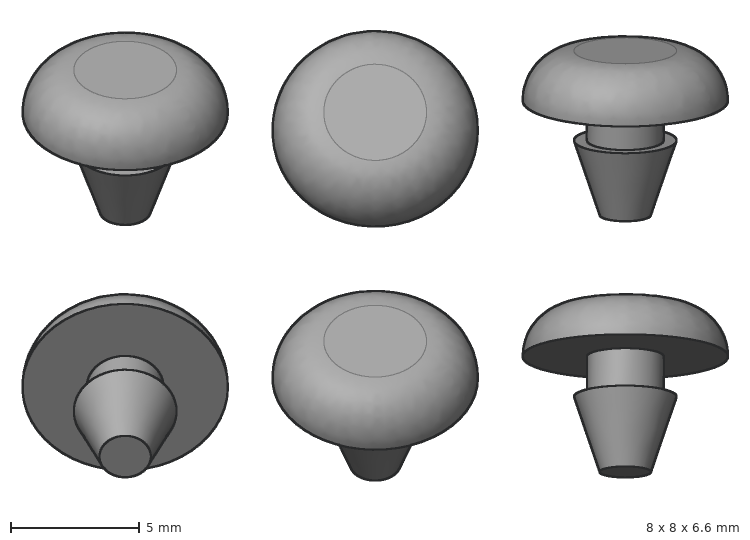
import cadquery as cq
import math

head_diameter = 8.0
head_height = 2.0
neck_diameter = 3.0
neck_length = 1.6
barb_top_diameter = 4.0
barb_tip_diameter = 2.0
barb_length = 3.0

head_radius = head_diameter / 2
neck_radius = neck_diameter / 2
barb_top_radius = barb_top_diameter / 2
barb_tip_radius = barb_tip_diameter / 2
edge_radius = head_height
flat_radius = head_radius - edge_radius
barb_top_z = -neck_length
barb_tip_z = barb_top_z - barb_length

arc_offset = edge_radius * math.sqrt(0.5)
arc_middle = (flat_radius + arc_offset, arc_offset)


def push_rivet():
    """Revolve the half profile of head, neck and tapered barb about Z."""
    half_profile = (
        cq.Workplane("XZ")
        .moveTo(0, barb_tip_z)
        .lineTo(barb_tip_radius, barb_tip_z)
        .lineTo(barb_top_radius, barb_top_z)
        .lineTo(neck_radius, barb_top_z)
        .lineTo(neck_radius, 0)
        .lineTo(head_radius, 0)
        .threePointArc(arc_middle, (flat_radius, head_height))
        .lineTo(0, head_height)
        .close()
    )
    return half_profile.revolve(360, (0, 0, 0), (0, 1, 0))


result = push_rivet()